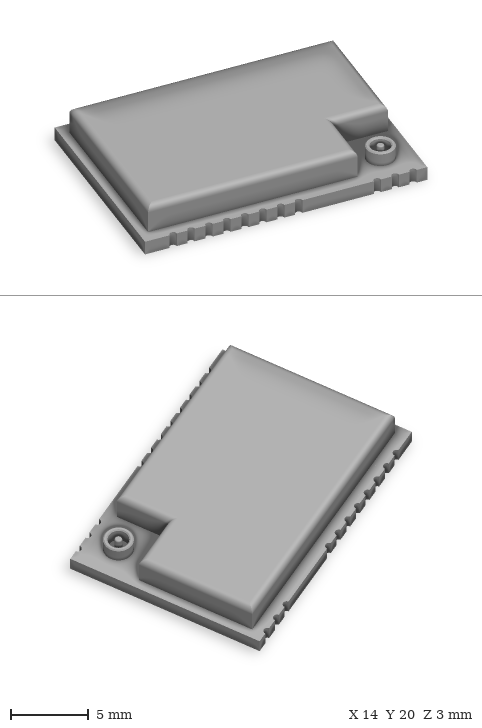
import cadquery as cq

board_width = 14
board_length = 20
board_thickness = 1

notch_diameter = 0.5
notch_pitch = 2.55 / 2
rear_notch_y = 9
rear_notch_count = 3
front_notch_y = -8
front_notch_count = 8

can_width = 12.2
can_length = 18.75
can_height = 2
can_edge_radius = 0.45
step_x = 2.28
step_y = 5.48

connector_x = 4.72
connector_y = 7.72
connector_height = 1
shell_diameter = 2
socket_diameter = 1.4
shell_lip_chamfer = 0.08
pin_diameter = 0.5
pin_height = 1
pin_tip_radius = 0.1


def make_board():
    """Flat board with notches cut through both long edges."""
    rear_ys = [rear_notch_y - i * notch_pitch for i in range(rear_notch_count)]
    front_ys = [front_notch_y + i * notch_pitch for i in range(front_notch_count)]
    centers = [
        (side * board_width / 2, y)
        for side in (-1, 1)
        for y in rear_ys + front_ys
    ]
    notches = cq.Workplane("XY").pushPoints(centers).circle(notch_diameter / 2).extrude(board_thickness)
    board = cq.Workplane("XY").rect(board_width, board_length).extrude(board_thickness)
    return board.cut(notches)


def make_can():
    """L-shaped block with all of its top edges rounded."""
    right = can_width / 2
    rear = can_length / 2
    outline = [
        (-right, -rear),
        (right, -rear),
        (right, step_y),
        (step_x, step_y),
        (step_x, rear),
        (-right, rear),
    ]
    can = cq.Workplane("XY", origin=(0, 0, board_thickness)).polyline(outline).close().extrude(can_height)
    return can.faces(">Z").edges().fillet(can_edge_radius)


def make_connector():
    """Round shell with a bevelled lip and a round-tipped contact pin standing in its socket."""
    base = cq.Workplane("XY", origin=(connector_x, connector_y, board_thickness))
    shell = base.circle(shell_diameter / 2).circle(socket_diameter / 2).extrude(connector_height)
    shell = shell.faces(">Z").edges().chamfer(shell_lip_chamfer)
    pin = base.circle(pin_diameter / 2).extrude(pin_height)
    pin = pin.faces(">Z").edges().fillet(pin_tip_radius)
    return shell.union(pin)


result = make_board().union(make_can()).union(make_connector())